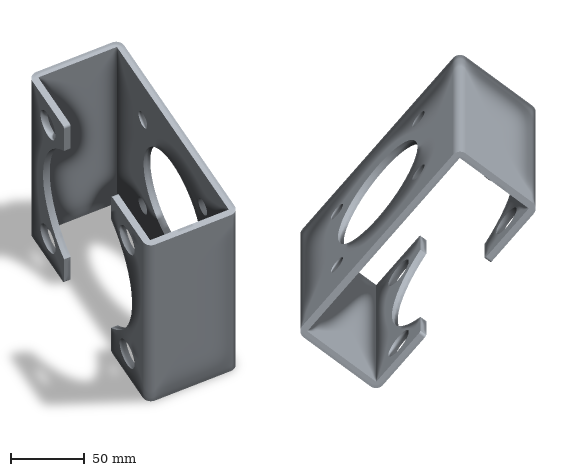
import cadquery as cq

width = 175.0
depth = 70.0
height = 160.0
wall = 5.0
bend_radius = 6.1
lip_gap = 69.3
lip_corner_radius = 2.0

lip_cutout_diameter = 131.0
bore_diameter = 86.0
back_hole_diameter = 13.0
back_hole_spacing = 88.2
lip_hole_diameter = 22.0
lip_hole_spacing = 116.5

front_y = -depth / 2
back_y = depth / 2
back_inner_y = back_y - wall


def channel():
    """Folded sheet with rounded outer bends, sharp inner corners and two front lips."""
    outer = cq.Workplane("XY").box(width, depth, height).edges("|Z").fillet(bend_radius)
    cavity = cq.Workplane("XY").box(width - 2 * wall, depth - 2 * wall, height)
    gap = cq.Workplane("XY").box(lip_gap, wall, height).translate((0, front_y + wall / 2, 0))
    return outer.cut(cavity).cut(gap)


def drill(diameter, start_y, points):
    """Round cutters one wall thick, running toward +Y from start_y."""
    plane = cq.Workplane("XZ", origin=(0, start_y, 0))
    return plane.pushPoints(points).circle(diameter / 2).extrude(-wall)


def square_pattern(spacing):
    half = spacing / 2
    return [(x, z) for x in (-half, half) for z in (-half, half)]


def lip_end_corners(part):
    """Round the top and bottom corners at the free end of each lip."""
    for side in (-1, 1):
        for end in (-1, 1):
            corner = (side * lip_gap / 2, front_y + wall / 2, end * height / 2)
            part = part.edges(cq.selectors.NearestToPointSelector(corner)).fillet(lip_corner_radius)
    return part


centre = [(0, 0)]
result = lip_end_corners(channel())
result = result.cut(drill(lip_cutout_diameter, front_y, centre))
result = result.cut(drill(lip_hole_diameter, front_y, square_pattern(lip_hole_spacing)))
result = result.cut(drill(bore_diameter, back_inner_y, centre))
result = result.cut(drill(back_hole_diameter, back_inner_y, square_pattern(back_hole_spacing)))